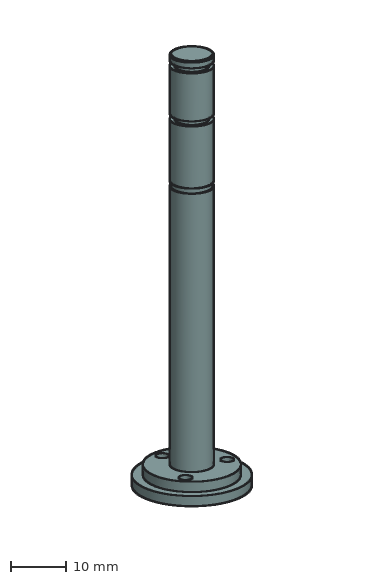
import cadquery as cq

total_height = 83.3
flange_diameter = 21.75
flange_thickness = 2.0
step_diameter = 17.75
step_thickness = 2.0

shaft_diameter = 8.0
tip_chamfer = 0.25

groove_width = 1.0
ring_groove_diameter = 6.3
shallow_groove_diameter = 7.6
upper_ring_groove_depth = 1.3
lower_ring_groove_depth = 11.6
shallow_groove_depth = 24.6

hole_diameter = 2.5
hole_circle_radius = 6.8
hole_count = 3
first_hole_angle = 180.0


def make_base():
    """Flange with a smaller concentric step on top."""
    flange = cq.Workplane("XY").circle(flange_diameter / 2).extrude(flange_thickness)
    return flange.faces(">Z").workplane().circle(step_diameter / 2).extrude(step_thickness)


def make_shaft():
    """Plain round shaft with a chamfered tip."""
    shaft = cq.Workplane("XY").circle(shaft_diameter / 2).extrude(total_height)
    return shaft.faces(">Z").chamfer(tip_chamfer)


def make_groove_cutter(depth_from_tip, groove_diameter):
    """Ring that leaves a neck of the given diameter in the shaft."""
    bottom = total_height - depth_from_tip - groove_width
    return (
        cq.Workplane("XY")
        .workplane(offset=bottom)
        .circle(shaft_diameter)
        .circle(groove_diameter / 2)
        .extrude(groove_width)
    )


def make_hole_cutters():
    """Evenly spaced pins for the through holes in the base."""
    return (
        cq.Workplane("XY")
        .polarArray(hole_circle_radius, first_hole_angle, 360, hole_count)
        .circle(hole_diameter / 2)
        .extrude(flange_thickness + step_thickness)
    )


result = make_base().union(make_shaft()).cut(make_hole_cutters())

for groove_depth, neck_diameter in (
    (upper_ring_groove_depth, ring_groove_diameter),
    (lower_ring_groove_depth, ring_groove_diameter),
    (shallow_groove_depth, shallow_groove_diameter),
):
    result = result.cut(make_groove_cutter(groove_depth, neck_diameter))